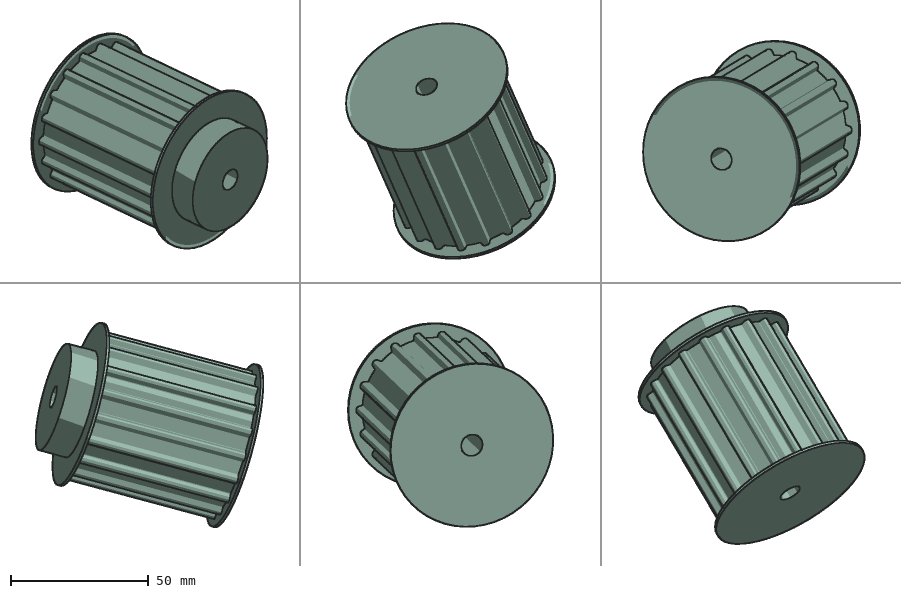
import cadquery as cq
import math

total_length = 70.0
pulley_width = 60.0

flange_diameter = 61.0
flange_face_diameter = 58.25
hub_diameter = 40.05
bore_diameter = 8.0

flange_thickness = 1.05
rim_lean = 0.2

tooth_count = 18
tip_radius = 27.7
root_radius = 25.4
tip_width = 2.3
flank_angle = 16.0
tip_fillet = 1.3
root_fillet = 0.4
foot_depth = 1.4

belt_start = rim_lean + flange_thickness
belt_length = pulley_width - 2 * belt_start
foot_radius = root_radius - foot_depth


def make_tooth():
    """One straight tooth pointing along +Y, with rounded tip corners."""
    half_tip = tip_width / 2
    half_foot = half_tip + (tip_radius - foot_radius) * math.tan(math.radians(flank_angle))
    outline = [
        (foot_radius, -half_foot),
        (tip_radius, -half_tip),
        (tip_radius, half_tip),
        (foot_radius, half_foot),
    ]
    belt_plane = cq.Workplane("YZ").workplane(offset=belt_start)
    tooth = belt_plane.polyline(outline).close().extrude(belt_length)
    return tooth.faces(">Y").edges("|X").fillet(tip_fillet)


def is_tooth_root(edge, tolerance=0.01):
    """True for the edges where a flank meets the root cylinder."""
    middle = edge.Center()
    return abs(math.hypot(middle.y, middle.z) - root_radius) < tolerance


def make_toothed_drum():
    drum = cq.Workplane("YZ").workplane(offset=belt_start).circle(root_radius).extrude(belt_length)
    tooth = make_tooth()
    for index in range(tooth_count):
        angle = index * 360 / tooth_count
        drum = drum.union(tooth.rotate((0, 0, 0), (1, 0, 0), angle))
    return drum.edges("|X").filter(is_tooth_root).fillet(root_fillet)


def make_flange():
    """Disc at the -X end: flat in the middle, rim leaning toward -X."""
    rim = flange_diameter / 2
    face = flange_face_diameter / 2
    section = [
        (rim_lean, 0),
        (rim_lean, face),
        (0, rim),
        (flange_thickness, rim),
        (belt_start, face),
        (belt_start, 0),
    ]
    return cq.Workplane("XY").polyline(section).close().revolve(360, (0, 0, 0), (1, 0, 0))


flange = make_flange()
far_flange = flange.mirror("YZ").translate((pulley_width, 0, 0))

hub_start = pulley_width - belt_start
hub = cq.Workplane("YZ").workplane(offset=hub_start).circle(hub_diameter / 2).extrude(total_length - hub_start)

bore = cq.Workplane("YZ").circle(bore_diameter / 2).extrude(total_length)

result = make_toothed_drum().union(flange).union(far_flange).union(hub).cut(bore)